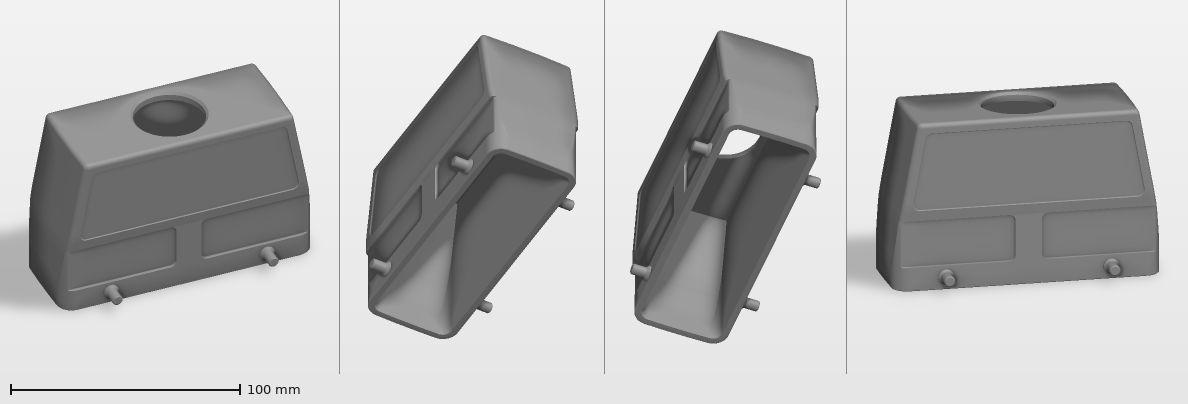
import cadquery as cq
import math

length = 120.1
height = 75.9
base_width = 43.5
upper_width = 44.9
corner_radius = 7.2
edge_radius = 2.0
base_chamfer = 0.3

flare_bottom = 31.8
flare_top = 37.8
flare_bend_radius = 30.0

crown_radius = 480.4
foot_top = 11.0
middle_top = 31.5
middle_lean = 1.9
top_half_length = 49.8
foot_bend_radius = 50.5
middle_bend_radius = 55.2

wall = 3.0
roof = 3.8

entry_diameter = 32.0
entry_rim_diameter = 34.1

pin_span = 2 * 29.5
pin_diameter = 4.8
pin_collar_diameter = 7.0
collar_height = 0.6
collar_cone_height = 1.1
pin_tip_chamfer = 0.5
pin_spacing = 73.9
pin_height = 5.6

panel_floor_radius = 0.5
lower_panel_depth = 1.3
lower_panel_end_radius = 1.5
lower_panel_bottom = 10.6
lower_panel_gap = 11.8
lower_panel_radius = 2.8
upper_panel_depth = 0.6
upper_panel_bottom = 36.5
upper_panel_top = 71.5
upper_panel_margin = 4.8
upper_panel_radius = 3.1

pick_slack = 0.1

half_length = length / 2
end_lean = (half_length - middle_lean - top_half_length) / (height - middle_top)


def bend_points(before, corner, after, radius):
    """Tangent points of the bend arc that rounds a corner of the end profile."""
    angle_in = math.atan2(corner[1] - before[1], corner[0] - before[0])
    angle_out = math.atan2(after[1] - corner[1], after[0] - corner[0])
    setback = radius * math.tan(abs(angle_out - angle_in) / 2)
    start = (corner[0] - setback * math.cos(angle_in), corner[1] - setback * math.sin(angle_in))
    end = (corner[0] + setback * math.cos(angle_out), corner[1] + setback * math.sin(angle_out))
    return start, end


def end_envelope(inset):
    """Space between the two crowned end walls, moved inward by inset."""
    axis_y = half_length - crown_radius
    bottom = (half_length - inset, 0)
    foot = (half_length - inset, foot_top)
    middle = (half_length - middle_lean - inset, middle_top)
    top = (top_half_length - inset, height)
    foot_start, foot_end = bend_points(bottom, foot, middle, foot_bend_radius)
    middle_start, middle_end = bend_points(foot, middle, top, middle_bend_radius)
    far_end = (
        cq.Workplane("YZ")
        .moveTo(axis_y, 0)
        .lineTo(*bottom)
        .lineTo(*foot_start)
        .tangentArcPoint(foot_end, relative=False)
        .lineTo(*middle_start)
        .tangentArcPoint(middle_end, relative=False)
        .lineTo(*top)
        .lineTo(axis_y, height)
        .close()
        .revolve(360, (axis_y, 0), (axis_y, 1))
    )
    return far_end.intersect(far_end.mirror("XZ"))


def crowned_plan(width, inset, top):
    """Upright prism with crowned ends and rounded corners."""
    half_width = width / 2 - inset
    end_y = half_length - inset
    crown_drop = crown_radius - math.sqrt(crown_radius**2 - half_width**2)
    corner_y = end_y - crown_drop
    return (
        cq.Workplane("XY")
        .moveTo(-half_width, -corner_y)
        .threePointArc((0, -end_y), (half_width, -corner_y))
        .lineTo(half_width, corner_y)
        .threePointArc((0, end_y), (-half_width, corner_y))
        .close()
        .extrude(top)
        .edges("|Z")
        .fillet(corner_radius - inset)
    )


def base_body():
    """Lower part of the hood, up to the foot of the flare."""
    prism = crowned_plan(base_width, 0, flare_bottom)
    return prism.faces("<Z").edges().chamfer(base_chamfer).intersect(end_envelope(0))


def upper_body():
    """Wider upper part with rounded edges, flared in to the base width at its foot."""
    half_section = [
        (base_width / 2, flare_bottom),
        (upper_width / 2, flare_top),
        (upper_width / 2, height),
    ]
    section = half_section + [(-x, z) for x, z in reversed(half_section)]
    flare_bends = cq.selectors.BoxSelector(
        (-length, -length, flare_top - pick_slack),
        (length, length, flare_top + pick_slack),
    )
    block = (
        cq.Workplane("XZ")
        .polyline(section)
        .close()
        .extrude(half_length, both=True)
        .edges(flare_bends)
        .fillet(flare_bend_radius)
        .intersect(end_envelope(0))
    )
    lengthwise_faces = cq.selectors.BoxSelector(
        (-length, -pick_slack, flare_bottom + pick_slack),
        (length, pick_slack, height + pick_slack),
    )
    return block.faces(lengthwise_faces).edges("((not |Y) or >Z) and (not <Z)").fillet(edge_radius)


def cavity():
    """Interior that leaves even walls and a thicker roof."""
    return crowned_plan(base_width, wall, height - roof).intersect(end_envelope(wall))


def entry_hole():
    """Cable entry cutter: a bore through the roof with a chamfered rim."""
    rim_depth = (entry_rim_diameter - entry_diameter) / 2
    bore = cq.Workplane("XY").workplane(offset=height / 2).circle(entry_diameter / 2).extrude(height)
    rim = (
        cq.Workplane("XY")
        .workplane(offset=height)
        .circle(entry_rim_diameter / 2)
        .extrude(-rim_depth, taper=45)
    )
    return bore.union(rim)


def pin():
    """Pin on the +X side at Y = 0, with a coned collar at its root."""
    collar_face = base_width / 2 + collar_height
    root = base_width / 2 - wall / 2
    tip = pin_span / 2
    pin_radius = pin_diameter / 2
    collar_radius = pin_collar_diameter / 2
    outline = [
        (root, 0),
        (root, collar_radius),
        (collar_face, collar_radius),
        (collar_face + collar_cone_height, pin_radius),
        (tip - pin_tip_chamfer, pin_radius),
        (tip, pin_radius - pin_tip_chamfer),
        (tip, 0),
    ]
    return cq.Workplane("XY").polyline(outline).close().revolve(360, (0, 0), (1, 0))


def lower_panel():
    """Recess on the +X, +Y quarter; it runs out through the rounded corner."""
    inner_y = lower_panel_gap / 2
    outer_y = half_length + corner_radius
    return (
        cq.Workplane("YZ", origin=(base_width / 2, 0, 0))
        .center((inner_y + outer_y) / 2, (lower_panel_bottom + flare_bottom) / 2)
        .sketch()
        .rect(outer_y - inner_y, flare_bottom - lower_panel_bottom)
        .vertices()
        .fillet(lower_panel_radius)
        .finalize()
        .extrude(-lower_panel_depth)
        .faces("<X")
        .edges()
        .fillet(panel_floor_radius)
    )


def panel_end_rounding():
    """Cutter that rounds the edge where the lower panel floor meets the +X, +Y corner."""
    floor_x = base_width / 2 - lower_panel_depth
    corner_y = half_length - corner_radius
    floor_bottom = lower_panel_bottom + panel_floor_radius
    core = (
        cq.Workplane("XY")
        .rect(2 * floor_x, length)
        .extrude(flare_bottom)
        .intersect(crowned_plan(base_width, 0, flare_bottom))
        .faces("<X or >X")
        .edges("|Z")
        .fillet(lower_panel_end_radius)
    )
    corner_block = (
        cq.Workplane("XY", origin=(0, corner_y, floor_bottom))
        .rect(base_width / 2, corner_radius, centered=False)
        .extrude(flare_bottom - floor_bottom)
    )
    return corner_block.cut(core)


def upper_panel():
    """Shallow trapezoid recess on the +X side, parallel to the sloped ends."""

    def half_span(z):
        return top_half_length + (height - z) * end_lean - upper_panel_margin

    bottom = half_span(upper_panel_bottom)
    top = half_span(upper_panel_top)
    corners = [
        (-bottom, upper_panel_bottom),
        (bottom, upper_panel_bottom),
        (top, upper_panel_top),
        (-top, upper_panel_top),
    ]
    outline = cq.Sketch().polygon(corners + corners[:1]).vertices().fillet(upper_panel_radius)
    return (
        cq.Workplane("YZ", origin=(upper_width / 2, 0, 0))
        .placeSketch(outline)
        .extrude(-upper_panel_depth)
        .faces("<X")
        .edges()
        .fillet(panel_floor_radius)
    )


hood = base_body().union(upper_body())

near_panel = lower_panel().union(panel_end_rounding())
side_panels = near_panel.union(near_panel.mirror("XZ")).union(upper_panel())
hood = hood.cut(side_panels).cut(side_panels.mirror("YZ"))

hood = hood.cut(cavity()).cut(entry_hole())

for pin_y in (-pin_spacing / 2, pin_spacing / 2):
    placed_pin = pin().translate((0, pin_y, pin_height))
    hood = hood.union(placed_pin).union(placed_pin.mirror("YZ"))

result = hood